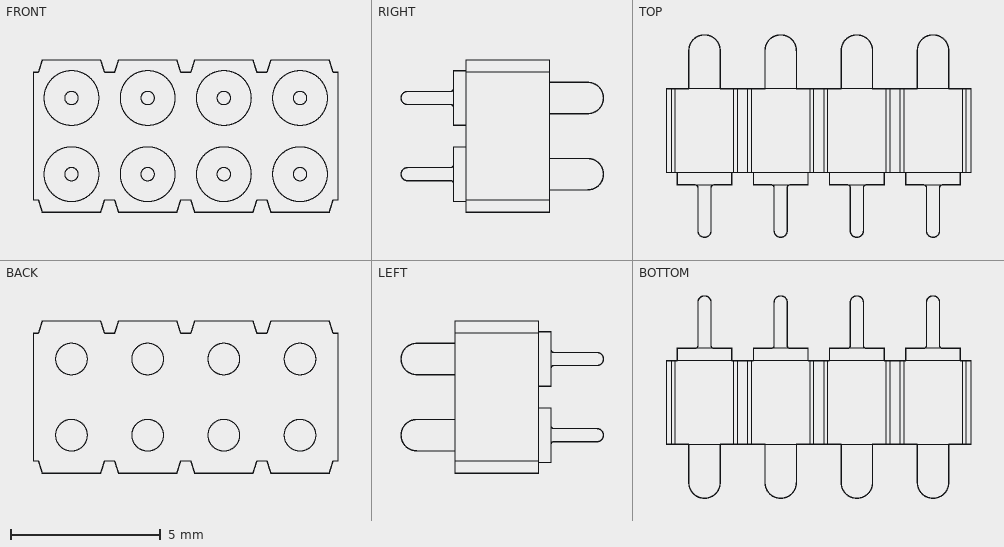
import cadquery as cq
import math

columns = 4
rows = 2
pitch = 2.54

housing_width = columns * pitch
housing_height = rows * pitch
housing_depth = 2.79

notch_depth = 0.41
notch_mouth_width = 0.59
notch_floor_width = 0.34

collar_radius = 0.91
collar_length = 0.42
tail_radius = 0.22
tail_length = 1.75
tail_fillet = 0.08
plunger_radius = 0.53
plunger_length = 1.8

column_places = [(i - (columns - 1) / 2) * pitch for i in range(columns)]
row_places = [(j - (rows - 1) / 2) * pitch for j in range(rows)]
pin_places = [(x, z) for x in column_places for z in row_places]


def bar_along_y(sketch):
    """Extrude an XZ sketch from the front face to the back face of the housing."""
    return sketch.extrude(-housing_depth)


def make_notch(x, side):
    """Tapered notch centred at x, in the top (side = 1) or bottom (side = -1) face."""
    mouth_z = side * housing_height / 2
    floor_z = side * (housing_height / 2 - notch_depth)
    outline = cq.Workplane("XZ").polyline([
        (x - notch_mouth_width / 2, mouth_z),
        (x - notch_floor_width / 2, floor_z),
        (x + notch_floor_width / 2, floor_z),
        (x + notch_mouth_width / 2, mouth_z),
    ]).close()
    return bar_along_y(outline)


def make_housing():
    """Notched block with a through hole for each pin."""
    block = bar_along_y(cq.Workplane("XZ").rect(housing_width, housing_height))
    for i in range(columns + 1):
        x = (i - columns / 2) * pitch
        for side in (1, -1):
            block = block.cut(make_notch(x, side))
    holes = bar_along_y(cq.Workplane("XZ").pushPoints(pin_places).circle(plunger_radius))
    return block.cut(holes)


def make_pin(x, z):
    """Round pin, revolved about its own axis along Y, with a domed tip at each end."""
    collar_front = -collar_length
    tail_tip = collar_front - tail_length
    tail_dome_base = tail_tip + tail_radius
    plunger_tip = housing_depth + plunger_length
    plunger_dome_base = plunger_tip - plunger_radius
    diagonal = math.sqrt(0.5)
    fillet_offset = tail_fillet * (1 - diagonal)

    profile = (
        cq.Workplane("XY")
        .moveTo(0, tail_tip)
        .threePointArc(
            (tail_radius * diagonal, tail_dome_base - tail_radius * diagonal),
            (tail_radius, tail_dome_base),
        )
        .lineTo(tail_radius, collar_front - tail_fillet)
        .threePointArc(
            (tail_radius + fillet_offset, collar_front - fillet_offset),
            (tail_radius + tail_fillet, collar_front),
        )
        .lineTo(collar_radius, collar_front)
        .lineTo(collar_radius, 0)
        .lineTo(plunger_radius, 0)
        .lineTo(plunger_radius, plunger_dome_base)
        .threePointArc(
            (plunger_radius * diagonal, plunger_dome_base + plunger_radius * diagonal),
            (0, plunger_tip),
        )
        .close()
    )
    return profile.revolve(360, (0, 0, 0), (0, 1, 0)).translate((x, 0, z))


housing = make_housing()
pins = [make_pin(x, z) for x, z in pin_places]

result = cq.Compound.makeCompound([housing.val(), *[pin.val() for pin in pins]])